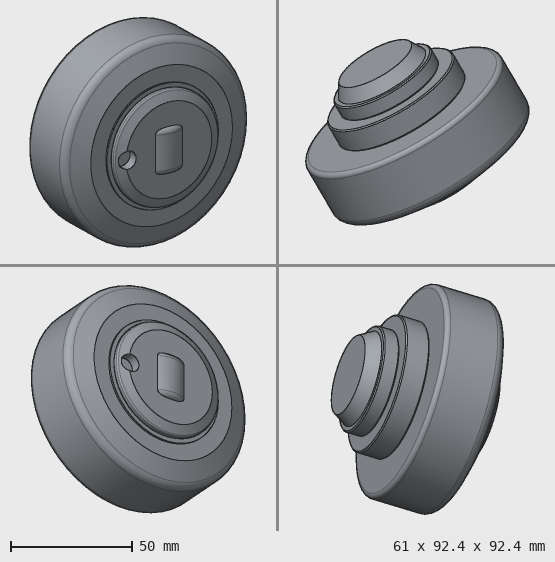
import cadquery as cq
import math

STUB_END = 5.9
COLLAR_END = 12.9
FLANGE_END = 23.6
TIRE_END = 53.8
RING_END = 54.6
CAP_END = 59.1
TOTAL_LENGTH = 61.0

STUB_TIP_RADIUS = 17.1
STUB_BASE_RADIUS = 20.5
COLLAR_RADIUS = 22.9
FLANGE_RADIUS = 29.7
TIRE_RADIUS = 46.2
TIRE_FACE_RADIUS = 35.3
RING_RADIUS = 55.5 / 2
CAP_RADIUS = 52.0 / 2
CAP_FACE_RADIUS = 21.3

STEP_CHAMFER = 0.6
CAP_CHAMFER_LENGTH = 0.5
CAP_CHAMFER_DEPTH = 0.3
TIRE_BACK_FILLET = 2.0
TIRE_FRONT_FILLET = 3.9
CAP_FILLET = 0.9
TIRE_TAPER_START = 50.5
CAP_TAPER_START = 57.4
TAPER_ANGLE = math.radians(20)
CAP_TAPER_ANGLE = math.radians(23)

AXIAL_ROLLER_RADIUS = 13.2
AXIAL_ROLLER_HALF_LENGTH = 10.5
AXIAL_ROLLER_FILLET = 2.5

RIM_HOLE_DIAMETER = 8.0
RIM_HOLE_OFFSET = 20.3
RIM_HOLE_DEPTH = CAP_END - RING_END


def rounded_shoulder(profile, radius, fillet, taper_start, angle):
    """Run along a cylinder, then round over tangentially into a taper that leans by angle."""
    center_x = taper_start - fillet * math.cos(angle)
    center_r = radius - fillet
    middle = (angle + math.pi / 2) / 2
    return profile.lineTo(center_x, radius).threePointArc(
        (center_x + fillet * math.cos(middle), center_r + fillet * math.sin(middle)),
        (taper_start, center_r + fillet * math.sin(angle)),
    )


def make_body():
    """Turn the stub, collar, flange, tire, ring and cap in one revolve."""
    profile = (
        cq.Workplane("XY")
        .moveTo(0, 0)
        .lineTo(0, STUB_TIP_RADIUS)
        .lineTo(STUB_END, STUB_BASE_RADIUS)
        .lineTo(STUB_END, COLLAR_RADIUS - STEP_CHAMFER)
        .lineTo(STUB_END + STEP_CHAMFER, COLLAR_RADIUS)
        .lineTo(COLLAR_END - STEP_CHAMFER, COLLAR_RADIUS)
        .lineTo(COLLAR_END, COLLAR_RADIUS - STEP_CHAMFER)
        .lineTo(COLLAR_END, FLANGE_RADIUS - STEP_CHAMFER)
        .lineTo(COLLAR_END + STEP_CHAMFER, FLANGE_RADIUS)
        .lineTo(FLANGE_END - STEP_CHAMFER, FLANGE_RADIUS)
        .lineTo(FLANGE_END, FLANGE_RADIUS - STEP_CHAMFER)
        .lineTo(FLANGE_END, TIRE_RADIUS - TIRE_BACK_FILLET)
        .tangentArcPoint((TIRE_BACK_FILLET, TIRE_BACK_FILLET))
    )
    profile = rounded_shoulder(profile, TIRE_RADIUS, TIRE_FRONT_FILLET, TIRE_TAPER_START, TAPER_ANGLE)
    profile = (
        profile.lineTo(TIRE_END, TIRE_FACE_RADIUS)
        .lineTo(TIRE_END, RING_RADIUS)
        .lineTo(RING_END, RING_RADIUS)
        .lineTo(RING_END, CAP_RADIUS - CAP_CHAMFER_DEPTH)
        .lineTo(RING_END + CAP_CHAMFER_LENGTH, CAP_RADIUS)
    )
    profile = rounded_shoulder(profile, CAP_RADIUS, CAP_FILLET, CAP_TAPER_START, CAP_TAPER_ANGLE)
    profile = profile.lineTo(CAP_END, CAP_FACE_RADIUS).lineTo(CAP_END, 0).close()
    return profile.revolve(360, (0, 0, 0), (1, 0, 0))


def make_axial_roller():
    """Cylinder along Z with rounded ends, tangent to the outermost plane of the part."""
    return (
        cq.Workplane("XY")
        .center(TOTAL_LENGTH - AXIAL_ROLLER_RADIUS, 0)
        .circle(AXIAL_ROLLER_RADIUS)
        .extrude(AXIAL_ROLLER_HALF_LENGTH, both=True)
        .faces("|Z")
        .edges()
        .fillet(AXIAL_ROLLER_FILLET)
    )


def make_rim_hole():
    """Blind hole from the cap face, offset toward -Y."""
    return (
        cq.Workplane("YZ", origin=(CAP_END - RIM_HOLE_DEPTH, -RIM_HOLE_OFFSET, 0))
        .circle(RIM_HOLE_DIAMETER / 2)
        .extrude(RIM_HOLE_DEPTH)
    )


result = make_body().cut(make_rim_hole()).union(make_axial_roller())